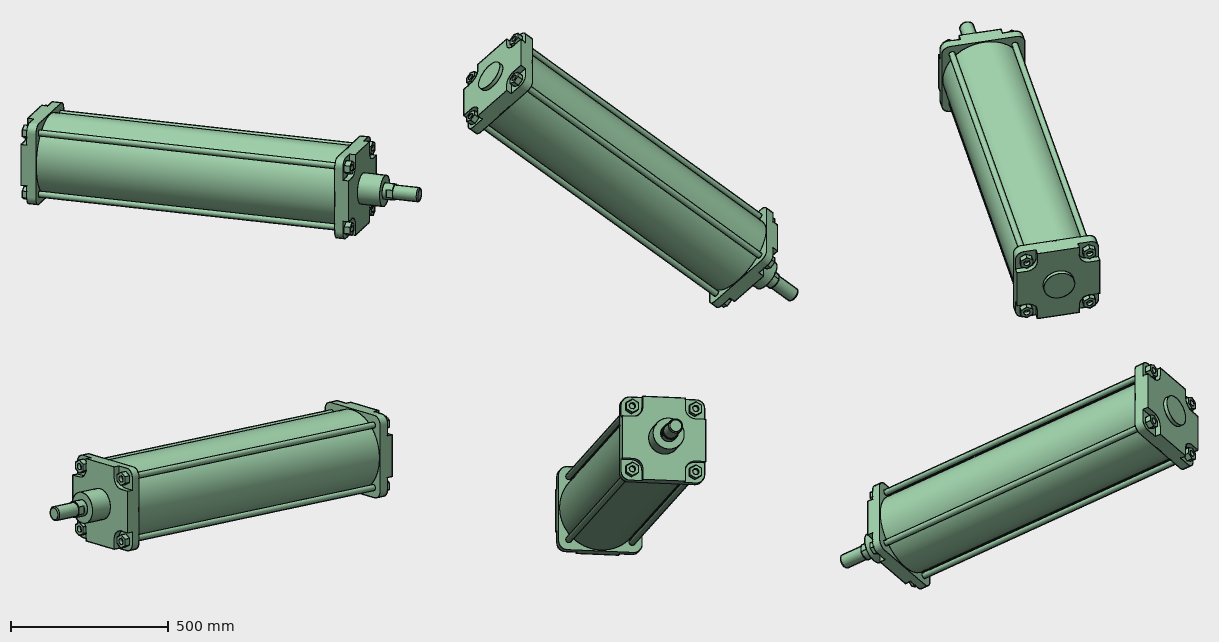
import cadquery as cq
import math

overall_length = 1303.0

cap_size = 270.0
cap_corner_radius = 27.0
rear_cap_thickness = 51.0
front_cap_thickness = 47.0
rear_disc_height = 13.0
front_boss_length = 74.0
boss_diameter = 100.0

pocket_depth = 20.0
pocket_radius = 34.0

tie_rod_spacing = 205.0
tie_rod_diameter = 20.0
tie_rod_protrusion = 7.0
nut_across_flats = 38.0
nut_thickness = pocket_depth

barrel_diameter = 263.0

piston_rod_diameter = 52.0
piston_rod_exposed = 34.0
flats_width = 45.0
flats_length = 21.0
stud_length = 83.0
stud_diameter = 45.0
stud_chamfer = 4.0

rod_offset = tie_rod_spacing / 2
rear_face_x = rear_disc_height
barrel_start_x = rear_face_x + rear_cap_thickness
shoulder_x = overall_length - stud_length
boss_end_x = shoulder_x - piston_rod_exposed
front_face_x = boss_end_x - front_boss_length
barrel_end_x = front_face_x - front_cap_thickness
barrel_length = barrel_end_x - barrel_start_x

rear_seat_x = rear_face_x + pocket_depth
front_seat_x = front_face_x - pocket_depth

corners = [(side_y, side_z) for side_y in (-1, 1) for side_z in (-1, 1)]


def cylinder(start_x, length, diameter, y=0.0, z=0.0):
    """Cylinder along +X from start_x, centred on (y, z)."""
    return cq.Workplane("YZ", origin=(start_x, y, z)).circle(diameter / 2).extrude(length)


def hex_nut(start_x, y, z):
    """Bored hexagon nut with two corners pointing along Z."""
    corner_diameter = nut_across_flats / math.cos(math.radians(30))
    nut = cq.Workplane("YZ", origin=(start_x, y, z)).polygon(6, corner_diameter).extrude(nut_thickness)
    nut = nut.rotate((0, y, z), (1, y, z), 90)
    return nut.cut(cylinder(start_x, nut_thickness, tie_rod_diameter, y, z))


def corner_pocket(start_x, side_y, side_z):
    """Open corner recess with its inner corner rounded about the tie rod axis."""
    reach = cap_size / 2 - rod_offset + pocket_radius
    middle = cap_size / 2 - reach / 2
    pocket = (
        cq.Workplane("YZ", origin=(start_x, 0, 0))
        .center(side_y * middle, side_z * middle)
        .rect(reach, reach)
        .extrude(pocket_depth)
    )
    inner_edge = cq.selectors.NearestToPointSelector(
        (start_x + pocket_depth / 2, side_y * (middle - reach / 2), side_z * (middle - reach / 2))
    )
    return pocket.edges("|X").edges(inner_edge).fillet(pocket_radius)


def end_cap(start_x, thickness, pocket_x):
    """Square cap with rounded corners, four corner pockets and tie rod holes."""
    cap = (
        cq.Workplane("YZ", origin=(start_x, 0, 0))
        .rect(cap_size, cap_size)
        .extrude(thickness)
        .edges("|X")
        .fillet(cap_corner_radius)
    )
    for side_y, side_z in corners:
        cap = cap.cut(corner_pocket(pocket_x, side_y, side_z))
        cap = cap.cut(cylinder(start_x, thickness, tie_rod_diameter, side_y * rod_offset, side_z * rod_offset))
    return cap


def build_rear_cap():
    """Rear cap with a low round disc on its outer face."""
    cap = end_cap(rear_face_x, rear_cap_thickness, rear_face_x)
    return cap.union(cylinder(0, rear_disc_height, boss_diameter))


def build_front_cap():
    """Front cap with a guide boss bored through for the piston rod."""
    cap = end_cap(barrel_end_x, front_cap_thickness, front_seat_x)
    cap = cap.union(cylinder(front_face_x, front_boss_length, boss_diameter))
    bore_length = boss_end_x - barrel_end_x
    return cap.cut(cylinder(barrel_end_x, bore_length, piston_rod_diameter))


def build_barrel():
    """Round barrel clamped between the two caps."""
    return cylinder(barrel_start_x, barrel_length, barrel_diameter)


def build_tie_rod(side_y, side_z):
    """Tie rod as one solid with a bored nut seated in the pocket at each end."""
    y = side_y * rod_offset
    z = side_z * rod_offset
    start_x = rear_seat_x - tie_rod_protrusion
    end_x = front_seat_x + tie_rod_protrusion
    rod = cylinder(start_x, end_x - start_x, tie_rod_diameter, y, z)
    rod = rod.union(hex_nut(rear_seat_x - nut_thickness, y, z))
    return rod.union(hex_nut(front_seat_x, y, z))


def build_piston_rod():
    """Piston rod with wrench flats facing +Y and -Y and a chamfered end stud."""
    shaft = cylinder(barrel_end_x, shoulder_x - barrel_end_x, piston_rod_diameter)
    flats_start_x = shoulder_x - flats_length
    wrench_zone = cylinder(flats_start_x, flats_length, piston_rod_diameter)
    flat_bar = (
        cq.Workplane("YZ", origin=(flats_start_x, 0, 0))
        .rect(flats_width, piston_rod_diameter)
        .extrude(flats_length)
    )
    shaft = shaft.cut(wrench_zone.cut(flat_bar))
    stud = cylinder(shoulder_x, stud_length, stud_diameter)
    return shaft.union(stud.faces(">X").chamfer(stud_chamfer))


barrel = build_barrel()
rear_cap = build_rear_cap()
front_cap = build_front_cap()
piston_rod = build_piston_rod()
tie_rods = [build_tie_rod(side_y, side_z) for side_y, side_z in corners]

result = cq.Compound.makeCompound([
    barrel.val(),
    rear_cap.val(),
    front_cap.val(),
    piston_rod.val(),
    *[tie_rod.val() for tie_rod in tie_rods],
])